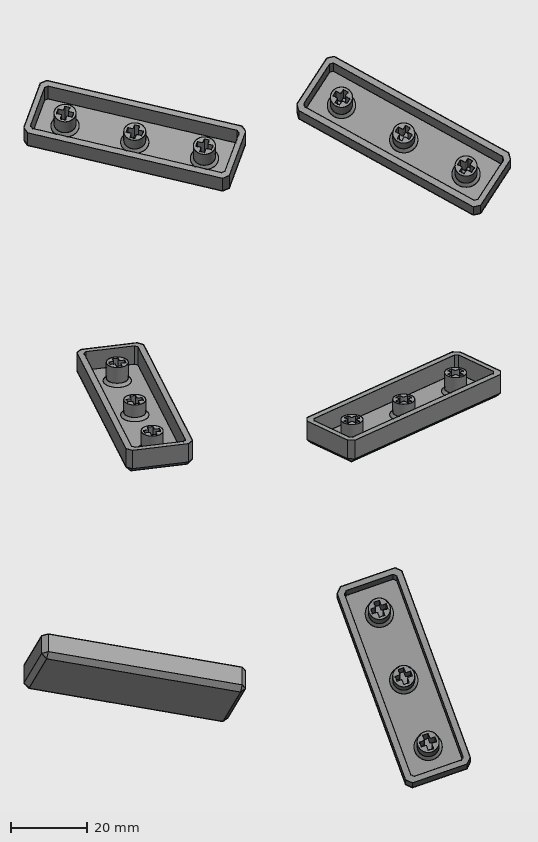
import cadquery as cq

length = 56.15
width = 18.0
height = 6.9
corner_chamfer = 1.4

end_wall = 1.5
side_wall = 1.75
floor_thickness = 1.4
cavity_chamfer = 0.75

stem_spacing = 19.05
stem_diameter = 5.8
stem_base_diameter = 7.4
stem_flare = (stem_base_diameter - stem_diameter) / 2
middle_stem_drop = 0.95
cross_span = 4.25
cross_arm_along_x = 1.5
cross_arm_along_y = 1.35
cross_corner_radius = 0.3

cavity_depth = height - floor_thickness


def make_shell():
    """Open tray with chamfered corners and a chamfered lower edge."""
    body = (
        cq.Workplane("XY")
        .box(length, width, height, centered=(True, True, False))
        .edges("|Z or <Z").chamfer(corner_chamfer)
    )
    cavity = (
        cq.Workplane("XY", origin=(0, 0, floor_thickness))
        .box(length - 2 * end_wall, width - 2 * side_wall, cavity_depth, centered=(True, True, False))
        .edges("|Z").chamfer(cavity_chamfer)
    )
    return body.cut(cavity)


def make_cross_socket(floor, depth):
    """Cross-shaped prism with its four inward corners rounded."""
    arm_x = floor.rect(cross_span, cross_arm_along_x).extrude(depth)
    arm_y = floor.rect(cross_arm_along_y, cross_span).extrude(depth)
    cross = arm_x.union(arm_y)
    core_reach = max(cross_arm_along_x, cross_arm_along_y)
    inward_corners = cross.edges("|Z").edges(
        cq.selectors.BoxSelector(
            floor.plane.toWorldCoords((-core_reach, -core_reach, 0)).toTuple(),
            floor.plane.toWorldCoords((core_reach, core_reach, depth)).toTuple(),
        )
    )
    return inward_corners.fillet(cross_corner_radius)


def make_stem(x, stem_height):
    """Round stem with a flared foot and a cross socket down to the cavity floor."""
    floor = cq.Workplane("XY", origin=(x, 0, floor_thickness))
    base_radius = stem_base_diameter / 2
    radius = stem_diameter / 2
    stem = floor.circle(radius).extrude(stem_height)
    foot = cq.Workplane(
        cq.Solid.makeCone(base_radius, radius, stem_flare, pnt=cq.Vector(x, 0, floor_thickness))
    )
    return stem.union(foot).cut(make_cross_socket(floor, stem_height))


result = make_shell()
for x, drop in ((-stem_spacing, 0), (0, middle_stem_drop), (stem_spacing, 0)):
    result = result.union(make_stem(x, cavity_depth - drop))